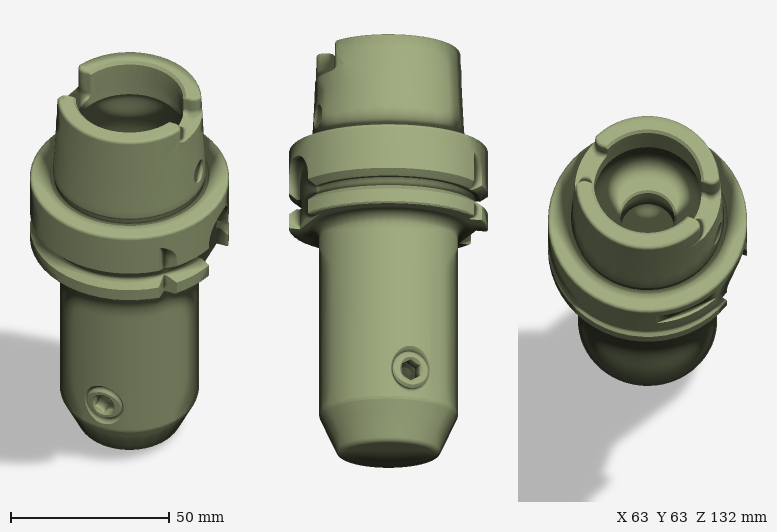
import cadquery as cq
import math


shank_top = 32.0
body_bottom = -100.0
flange_bottom = -26.0

taper_gauge_radius = 24.0
taper_gauge_height = 6.3
taper_slope = 1 / 20
taper_bottom = 2.0
shank_top_round = 1.0
relief_radius = 23.9
relief_top = 1.2
relief_depth = 0.4
relief_outer_radius = 25.4
relief_chamfer = 0.5

bore_radius = 17.0
bore_chamfer = 0.85
clamp_radius = 20.0
clamp_top = 19.0
clamp_floor_round = 4.0
floor_level = 1.8
thread_radius = 8.5
thread_chamfer = 0.7
thread_depth = 10.0

drive_slot_width = 12.5
left_slot_depth = 10.0
right_slot_depth = 6.0
horn_corner_round = 2.8
horn_tangent_height = 26.0
slot_floor_round = 1.5
slot_runout = 6.0

cross_hole_diameter = 7.6
cross_hole_height = 8.85

flange_radius = 31.5
flange_top_round = 1.0
flange_bottom_round = 0.6
groove_radius = 27.5
groove_center = -17.95
groove_floor_width = 3.1
groove_mouth_width = 6.8
groove_step_radius = 29.0

left_keyway_width = 18.0
right_keyway_width = 16.0
keyway_floor = 26.5
keyway_top = -5.3
keyway_corner = 7.5
notch_offset = 20.0
notch_top_round = 7.5
notch_tangent_level = -11.9
flat_distance = 29.7
flat_top = -4.0
flat_height = 6.0
flat_angle = 135.0

body_radius = 22.0
neck_round = 3.0
nose_top = -87.2
nose_radius = 16.0
nose_top_round = 2.0
nose_bottom_round = 2.0

screw_height = -77.6
screw_radius = 6.0
screw_chamfer = 1.0
screw_face = 21.9
seat_mouth_radius = 7.6
socket_flats = 6.0
socket_mouth_radius = 4.0
socket_depth = 5.0
socket_tip_radius = 2.2
socket_tip_depth = 1.0


def taper_radius(height):
    return taper_gauge_radius - taper_slope * (height - taper_gauge_height)


def make_shell():
    """Turned outside of the holder."""
    groove_half_floor = groove_floor_width / 2
    groove_half_mouth = groove_mouth_width / 2
    profile = (
        cq.Workplane("XZ")
        .moveTo(0, shank_top)
        .lineTo(taper_radius(shank_top), shank_top)
        .lineTo(taper_radius(taper_bottom), taper_bottom)
        .lineTo(relief_radius, relief_top)
        .lineTo(relief_radius, -relief_depth)
        .lineTo(relief_outer_radius - relief_chamfer, -relief_depth)
        .lineTo(relief_outer_radius, 0)
        .lineTo(flange_radius, 0)
        .lineTo(flange_radius, groove_center + groove_half_mouth)
        .lineTo(groove_step_radius, groove_center + groove_half_floor)
        .lineTo(groove_radius, groove_center + groove_half_floor)
        .lineTo(groove_radius, groove_center - groove_half_floor)
        .lineTo(groove_step_radius, groove_center - groove_half_floor)
        .lineTo(flange_radius, groove_center - groove_half_mouth)
        .lineTo(flange_radius, flange_bottom)
        .lineTo(body_radius, flange_bottom)
        .lineTo(body_radius, nose_top)
        .lineTo(nose_radius, body_bottom)
        .lineTo(0, body_bottom)
        .close()
    )
    shell = profile.revolve(360, (0, 0, 0), (0, 1, 0))
    rounds = [
        (taper_radius(shank_top), shank_top, shank_top_round),
        (flange_radius, 0, flange_top_round),
        (flange_radius, flange_bottom, flange_bottom_round),
        (body_radius, flange_bottom, neck_round),
        (body_radius, nose_top, nose_top_round),
        (nose_radius, body_bottom, nose_bottom_round),
    ]
    for radius, height, size in rounds:
        shell = shell.edges(circle_at(radius, height)).fillet(size)
    return shell


def circle_at(radius, height):
    """Selector for the turned edge of a given radius and height."""
    reach = radius + 0.01
    inner = radius - 0.01
    outer_box = cq.selectors.BoxSelector(
        (-reach, -reach, height - 0.01), (reach, reach, height + 0.01), boundingbox=True
    )
    inner_box = cq.selectors.BoxSelector(
        (-inner, -inner, height - 0.01), (inner, inner, height + 0.01), boundingbox=True
    )
    return outer_box - inner_box


def make_cavity():
    """Stepped bore inside the shank."""
    return (
        cq.Workplane("XZ")
        .moveTo(0, shank_top)
        .lineTo(bore_radius + bore_chamfer, shank_top)
        .lineTo(bore_radius, shank_top - bore_chamfer)
        .lineTo(bore_radius, clamp_top)
        .lineTo(clamp_radius, clamp_top)
        .lineTo(clamp_radius, floor_level + clamp_floor_round)
        .radiusArc((clamp_radius - clamp_floor_round, floor_level), clamp_floor_round)
        .lineTo(thread_radius + thread_chamfer, floor_level)
        .lineTo(thread_radius, floor_level - thread_chamfer)
        .lineTo(thread_radius, floor_level - thread_depth)
        .lineTo(0, floor_level - thread_depth)
        .close()
        .revolve(360, (0, 0, 0), (0, 1, 0))
    )


def make_drive_slot(side, depth):
    """Slot whose walls flare around the horn corners and run out tangent to the taper."""
    half_width = drive_slot_width / 2
    tangent_radius = taper_radius(horn_tangent_height)
    center_y = half_width + horn_corner_round
    center_x = math.sqrt((tangent_radius - horn_corner_round) ** 2 - center_y**2)
    center_angle = math.atan2(center_y, center_x)
    mid_angle = (center_angle - math.pi / 2) / 2
    tangent_x = tangent_radius * math.cos(center_angle)
    tangent_y = tangent_radius * math.sin(center_angle)
    mid_x = center_x + horn_corner_round * math.cos(mid_angle)
    mid_y = center_y + horn_corner_round * math.sin(mid_angle)
    runout_x = tangent_x - slot_runout * math.sin(center_angle)
    runout_y = tangent_y + slot_runout * math.cos(center_angle)
    slot = (
        cq.Workplane("XY", origin=(0, 0, shank_top - depth))
        .moveTo(0, -half_width)
        .lineTo(center_x, -half_width)
        .threePointArc((mid_x, -mid_y), (tangent_x, -tangent_y))
        .lineTo(runout_x, -runout_y)
        .lineTo(flange_radius, -runout_y)
        .lineTo(flange_radius, runout_y)
        .lineTo(runout_x, runout_y)
        .lineTo(tangent_x, tangent_y)
        .threePointArc((mid_x, mid_y), (center_x, half_width))
        .lineTo(0, half_width)
        .close()
        .extrude(depth)
        .faces("<Z")
        .edges("not(<X or >X)")
        .fillet(slot_floor_round)
    )
    plate = (
        cq.Workplane("XY", origin=(0, 0, shank_top))
        .box(flange_radius, 2 * runout_y, depth, centered=(False, True, False))
    )
    slot = slot.union(plate)
    for wall in (-half_width, half_width):
        mouth = cq.selectors.NearestToPointSelector((center_x / 2, wall, shank_top))
        slot = slot.edges(mouth).fillet(shank_top_round)
    if side < 0:
        slot = slot.rotate((0, 0, 0), (0, 0, 1), 180)
    return slot


def make_cross_hole():
    return (
        cq.Workplane("YZ")
        .center(0, cross_hole_height)
        .circle(cross_hole_diameter / 2)
        .extrude(flange_radius, both=True)
    )


def make_keyway(side, width):
    """Keyway with rounded top corners, open at the bottom of the flange."""
    height = keyway_top - flange_bottom
    depth = flange_radius
    keyway = (
        cq.Workplane("XY")
        .box(depth, width, height, centered=(False, True, False))
        .edges("|X and >Z")
        .fillet(keyway_corner)
        .translate((keyway_floor, 0, flange_bottom))
    )
    if side < 0:
        keyway = keyway.rotate((0, 0, 0), (0, 0, 1), 180)
    return keyway


def make_index_notch():
    """Square corner notch with a rounded run-out at its top."""
    center_y = -notch_offset - notch_top_round
    return (
        cq.Workplane("YZ", origin=(notch_offset, 0, 0))
        .moveTo(-notch_offset, flange_bottom)
        .lineTo(-notch_offset, notch_tangent_level)
        .radiusArc((center_y, notch_tangent_level + notch_top_round), -notch_top_round)
        .lineTo(-flange_radius, notch_tangent_level + notch_top_round)
        .lineTo(-flange_radius, flange_bottom)
        .close()
        .extrude(flange_radius)
    )


def make_chip_flat():
    return (
        cq.Workplane("XY")
        .box(flange_radius, 2 * flange_radius, flat_height, centered=(False, True, False))
        .translate((flat_distance, 0, flat_top - flat_height))
        .rotate((0, 0, 0), (0, 0, 1), flat_angle)
    )


def make_screw_recess():
    """Space in front of the clamping screw, with its hexagon socket, around the -Y axis."""
    socket_end = screw_face - socket_depth
    mouth_depth = seat_mouth_radius - screw_radius
    socket_corner = socket_flats / math.sqrt(3)
    turned = (
        cq.Workplane("XY")
        .moveTo(0, socket_end - socket_tip_depth)
        .lineTo(socket_tip_radius, socket_end - socket_tip_depth)
        .lineTo(socket_flats / 2, socket_end)
        .lineTo(socket_flats / 2, screw_face - (socket_mouth_radius - socket_flats / 2))
        .lineTo(socket_mouth_radius, screw_face)
        .lineTo(screw_radius - screw_chamfer, screw_face)
        .lineTo(screw_radius, screw_face - screw_chamfer)
        .lineTo(screw_radius, body_radius - mouth_depth)
        .lineTo(seat_mouth_radius, body_radius)
        .lineTo(0, body_radius)
        .close()
        .revolve(360, (0, 0, 0), (0, 1, 0))
    )
    socket = (
        cq.Workplane("XZ", origin=(0, socket_end, 0))
        .polygon(6, 2 * socket_corner)
        .extrude(-socket_depth)
        .rotate((0, 0, 0), (0, 1, 0), 30)
    )
    return turned.union(socket).rotate((0, 0, 0), (0, 0, 1), 180).translate((0, 0, screw_height))


result = make_shell().cut(make_cavity())
result = result.cut(make_drive_slot(-1, left_slot_depth))
result = result.cut(make_drive_slot(1, right_slot_depth))
result = result.cut(make_cross_hole())
result = result.cut(make_keyway(-1, left_keyway_width))
result = result.cut(make_keyway(1, right_keyway_width))
result = result.cut(make_index_notch())
result = result.cut(make_chip_flat())
result = result.cut(make_screw_recess())